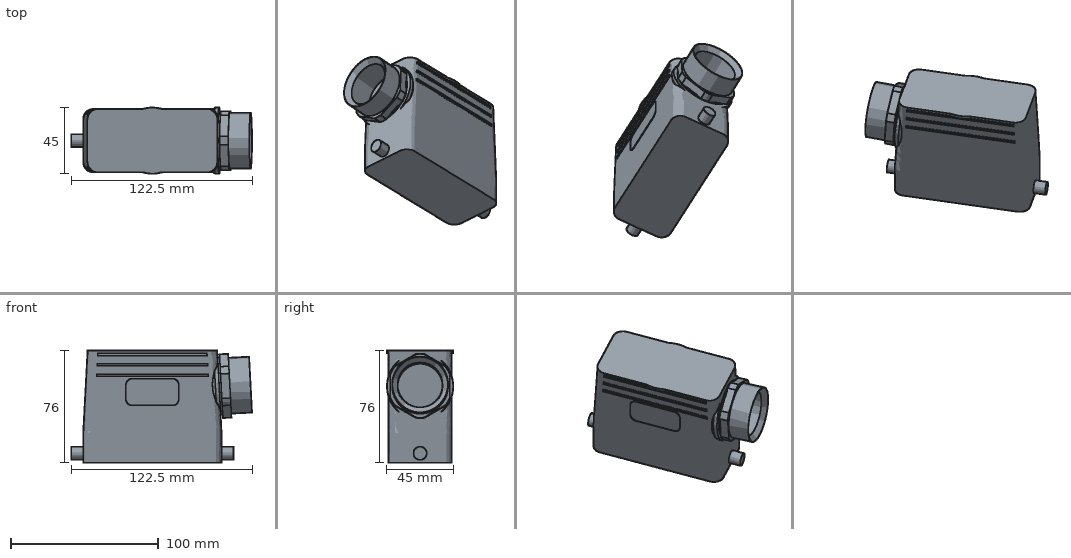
import cadquery as cq
import math

BASE_LENGTH = 93.7
TOP_LENGTH = 87.8
BODY_WIDTH = 43.0
BODY_HEIGHT = 76.0
SKIRT_HEIGHT = 20.2
CORNER_RADIUS = 7.1

LUG_DIAMETER = 45.0
LUG_HEIGHT = 2.1

GROOVE_COUNT = 3
GROOVE_PITCH = 7.0
GROOVE_HEIGHT = 1.5
GROOVE_DEPTH = 0.9

PLATE_LENGTH = 35.9
PLATE_HEIGHT = 18.1
PLATE_RADIUS = 4.4
PLATE_DEPTH = 0.2
PLATE_CENTRE_Z = 47.9

PIN_DIAMETER = 9.0
PIN_SPAN = 110.0
PIN_Z = 6.5

GLAND_Z = 51.8
FLANGE_DIAMETER = 45.0
FLANGE_DEPTH = 2.6
FLANGE_CONE_DEPTH = 4.0
FLANGE_CONE_DIAMETER = 39.0
NECK_DIAMETER = 39.0
NECK_LENGTH = 1.3
NUT_ACROSS_FLATS = 40.0
NUT_ROUND_DIAMETER = 43.3
NUT_LENGTH = 5.9
BARREL_DIAMETER = 38.0
BARREL_LENGTH = 14.1
BORE_DIAMETER = 30.4
BORE_RIM = 0.2

SIDE_SLOPE = (BASE_LENGTH - TOP_LENGTH) / 2 / (BODY_HEIGHT - SKIRT_HEIGHT)


def half_length(z):
    """Half of the body length at a height on the tapered part."""
    return BASE_LENGTH / 2 - SIDE_SLOPE * (z - SKIRT_HEIGHT)


def rounded_outline(length):
    return cq.Sketch().rect(length, BODY_WIDTH).vertices().fillet(CORNER_RADIUS)


def make_body():
    base = rounded_outline(BASE_LENGTH)
    top = rounded_outline(TOP_LENGTH)
    skirt = cq.Workplane("XY").placeSketch(base).extrude(SKIRT_HEIGHT)
    rise = cq.Location(cq.Vector(0, 0, BODY_HEIGHT - SKIRT_HEIGHT))
    hood = (
        cq.Workplane("XY", origin=(0, 0, SKIRT_HEIGHT))
        .placeSketch(base, top.moved(rise))
        .loft(ruled=True)
    )
    return skirt.union(hood)


def make_lug():
    return (
        cq.Workplane("XY", origin=(0, 0, BODY_HEIGHT - LUG_HEIGHT))
        .circle(LUG_DIAMETER / 2)
        .extrude(LUG_HEIGHT)
    )


def make_groove(top_z):
    """Groove cutter for both long sides, ending where the rounded corners start."""
    bottom_z = top_z - GROOVE_HEIGHT
    top_end = half_length(top_z) - CORNER_RADIUS
    bottom_end = half_length(bottom_z) - CORNER_RADIUS
    profile = [(-bottom_end, bottom_z), (bottom_end, bottom_z), (top_end, top_z), (-top_end, top_z)]
    across = cq.Workplane("XZ").polyline(profile).close().extrude(BODY_WIDTH / 2, both=True)
    core = cq.Workplane("XY").box(BASE_LENGTH, BODY_WIDTH - 2 * GROOVE_DEPTH, 2 * BODY_HEIGHT)
    return across.cut(core)


def make_nameplate_recess():
    field = cq.Sketch().rect(PLATE_LENGTH, PLATE_HEIGHT).vertices().fillet(PLATE_RADIUS)
    return (
        cq.Workplane("XZ", origin=(0, -BODY_WIDTH / 2, PLATE_CENTRE_Z))
        .placeSketch(field)
        .extrude(-PLATE_DEPTH)
    )


def make_pins():
    return (
        cq.Workplane("YZ", origin=(0, 0, PIN_Z))
        .circle(PIN_DIAMETER / 2)
        .extrude(PIN_SPAN / 2, both=True)
    )


gland_tilt = math.atan(SIDE_SLOPE)
gland_plane = cq.Plane(
    origin=(half_length(GLAND_Z), 0, GLAND_Z),
    xDir=(0, 1, 0),
    normal=(math.cos(gland_tilt), 0, math.sin(gland_tilt)),
)
NUT_END = NECK_LENGTH + NUT_LENGTH
BARREL_END = NUT_END + BARREL_LENGTH


def gland_disc(diameter, start, length):
    """Cylinder on the gland axis, starting at a distance from the sloping side."""
    return cq.Workplane(gland_plane).workplane(offset=start).circle(diameter / 2).extrude(length)


def gland_cone(start_diameter, end_diameter, start, length):
    """Cone on the gland axis, starting at a distance from the sloping side."""
    return (
        cq.Workplane(gland_plane)
        .workplane(offset=start)
        .circle(start_diameter / 2)
        .workplane(offset=length)
        .circle(end_diameter / 2)
        .loft()
    )


def make_nut():
    """Hexagon with two flats facing +Y and -Y and its corners turned round."""
    across_corners = NUT_ACROSS_FLATS / math.cos(math.pi / 6)
    hexagon = (
        cq.Workplane(gland_plane)
        .workplane(offset=NECK_LENGTH)
        .transformed(rotate=(0, 0, 90))
        .polygon(6, across_corners)
        .extrude(NUT_LENGTH)
    )
    return hexagon.intersect(gland_disc(NUT_ROUND_DIAMETER, NECK_LENGTH, NUT_LENGTH))


def make_gland():
    flange = gland_disc(FLANGE_DIAMETER, -FLANGE_DEPTH, FLANGE_DEPTH)
    cone_start = -FLANGE_DEPTH - FLANGE_CONE_DEPTH
    flange_cone = gland_cone(FLANGE_CONE_DIAMETER, FLANGE_DIAMETER, cone_start, FLANGE_CONE_DEPTH)
    neck = gland_disc(NECK_DIAMETER, 0, NECK_LENGTH)
    barrel = gland_disc(BARREL_DIAMETER, NUT_END, BARREL_LENGTH)
    return flange.union(flange_cone).union(neck).union(make_nut()).union(barrel)


def make_bore():
    """Bore down to the sloping side, with a 45 degree mouth that leaves a thin rim."""
    mouth_diameter = BARREL_DIAMETER - 2 * BORE_RIM
    mouth_depth = (mouth_diameter - BORE_DIAMETER) / 2
    mouth = gland_cone(BORE_DIAMETER, mouth_diameter, BARREL_END - mouth_depth, mouth_depth)
    return gland_disc(BORE_DIAMETER, 0, BARREL_END).union(mouth)


body = make_body()
for index in range(GROOVE_COUNT):
    body = body.cut(make_groove(BODY_HEIGHT - LUG_HEIGHT - index * GROOVE_PITCH))
body = body.cut(make_nameplate_recess())

result = body.union(make_lug()).union(make_pins()).union(make_gland()).cut(make_bore())